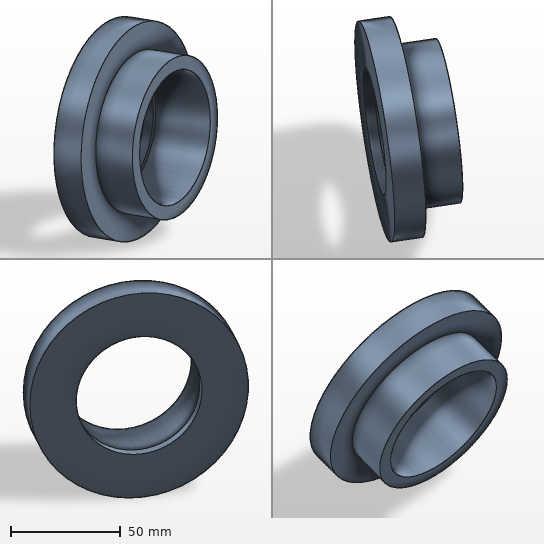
import cadquery as cq

flange_diameter = 102.0
flange_thickness = 14.5
hub_diameter = 76.0
total_length = 34.0

lip_diameter = 58.6
lip_length = 5.0
bore_diameter = 63.0


def cylinder(diameter, start, end):
    """Solid cylinder on the X axis between two X positions."""
    return cq.Workplane("YZ", origin=(start, 0, 0)).circle(diameter / 2).extrude(end - start)


flange = cylinder(flange_diameter, 0, flange_thickness)
hub = cylinder(hub_diameter, flange_thickness, total_length)
lip_opening = cylinder(lip_diameter, 0, total_length)
bore = cylinder(bore_diameter, lip_length, total_length)

result = flange.union(hub).cut(lip_opening).cut(bore)